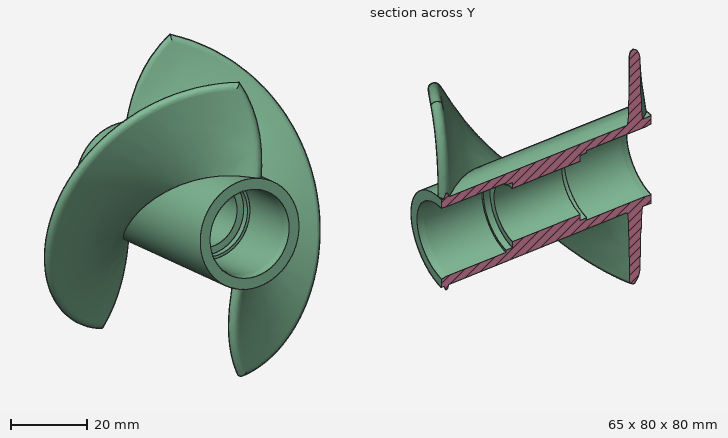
import cadquery as cq
import math

hub_length = 65.0
hub_diameter = 30.0
through_bore_diameter = 18.0
step_diameter = 22.0
end_bore_diameter = 23.5
mouth_diameter = 24.0
mouth_depth = 2.0
end_bore_depth = 20.0
step_depth = 2.0

blade_count = 2
outer_diameter = 80.0
blade_thickness = 3.0
pitch = 120.0
helix_start_x = -2.55
end_arc_radius = 148.0
end_crown_x = 32.9
fillet_radius = 0.99 * blade_thickness / 2

tip_radius = outer_diameter / 2
root_radius = hub_diameter / 2 - blade_thickness
length_steps = 32
radial_steps = 6


def blade_end_x(radius):
    """Axial half length of the blade at a radius."""
    return end_crown_x - end_arc_radius + math.sqrt(end_arc_radius**2 - radius**2)


def face_point(along, across):
    """Point on one broad face; along runs -1 to 1 end to end, across 0 to 1 root to tip."""
    radius = root_radius + across * (tip_radius - root_radius)
    x = along * blade_end_x(radius)
    angle = 2 * math.pi * (x - helix_start_x) / pitch
    middle = cq.Vector(x, -radius * math.cos(angle), radius * math.sin(angle))
    lead = pitch / (2 * math.pi)
    normal = cq.Vector(radius, -lead * math.sin(angle), -lead * math.cos(angle)).normalized()
    return middle - normal * (blade_thickness / 2)


def make_blade():
    along_values = [2 * i / length_steps - 1 for i in range(length_steps + 1)]
    across_values = [j / radial_steps for j in range(radial_steps + 1)]
    grid = [[face_point(a, c) for c in across_values] for a in along_values]
    broad_face = cq.Face.makeSplineApprox(grid, tol=0.005, minDeg=3, maxDeg=6)
    into_blade = broad_face.normalAt(face_point(0, 0.5)).x
    plate = broad_face.thicken(math.copysign(blade_thickness, into_blade))

    long_edges = [edge for edge in plate.Edges() if edge.Length() > 2 * blade_thickness]
    end_edges = [edge for edge in long_edges if abs(edge.Center().x) > hub_length / 4]
    tip_edges = sorted(long_edges, key=lambda edge: edge.Length())[-2:]
    return plate.fillet(fillet_radius, end_edges + tip_edges)


def make_hub():
    return cq.Workplane("YZ", origin=(-hub_length / 2, 0, 0)).circle(hub_diameter / 2).extrude(hub_length)


def make_bore():
    """Stepped bore with a lead-in taper, the same from both ends."""
    mouth_x = hub_length / 2
    floor_x = mouth_x - end_bore_depth
    half_profile = [
        (0, 0),
        (0, through_bore_diameter / 2),
        (floor_x - step_depth, through_bore_diameter / 2),
        (floor_x - step_depth, step_diameter / 2),
        (floor_x, step_diameter / 2),
        (floor_x, end_bore_diameter / 2),
        (mouth_x - mouth_depth, end_bore_diameter / 2),
        (mouth_x, mouth_diameter / 2),
        (mouth_x, 0),
    ]
    half = cq.Workplane("XY").polyline(half_profile).close().revolve(360, (0, 0, 0), (1, 0, 0))
    return half.union(half.mirror("YZ"))


body = make_hub()
first_blade = cq.Workplane(make_blade())
for index in range(blade_count):
    body = body.union(first_blade.rotate((0, 0, 0), (1, 0, 0), index * 360 / blade_count))

envelope = cq.Workplane("XY").box(hub_length, 2 * outer_diameter, 2 * outer_diameter)
result = body.intersect(envelope).cut(make_bore())